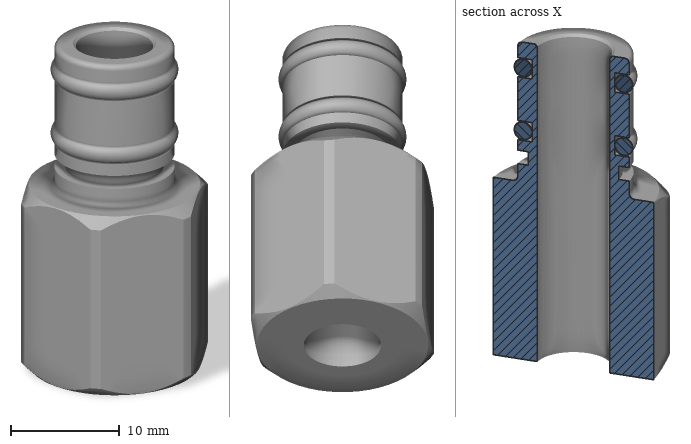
import cadquery as cq
import math

TOTAL_HEIGHT = 31.75
HEX_HEIGHT = 17.78
HEX_ACROSS_FLATS = 15.88
HEX_CORNER_RADIUS = 8.9
HEX_CHAMFER = 1.02

STEM_RADIUS = 5.52
STEM_TOP_FILLET = 0.5
STEM_ROOT_FILLET = 0.5
BORE_RADIUS = 3.55
BORE_CHAMFER = 0.25

RELIEF_RADIUS = 4.5
RELIEF_BOTTOM = 19.53
RELIEF_WIDTH = 1.3

RING_SECTION_RADIUS = 0.9
RING_OUTER_RADIUS = 5.87
RING_HEIGHTS = (22.85, 29.15)
RING_GROOVE_WIDTH = 1.87

RING_CENTRE_RADIUS = RING_OUTER_RADIUS - RING_SECTION_RADIUS
RING_GROOVE_RADIUS = RING_CENTRE_RADIUS - RING_SECTION_RADIUS


def make_hexagon():
    """Hexagonal base with turned corners and a 45 degree chamfer at both ends."""
    across_corners = HEX_ACROSS_FLATS / math.cos(math.pi / 6)
    prism = cq.Workplane("XY").polygon(6, across_corners).extrude(HEX_HEIGHT)
    turned_blank = (
        cq.Workplane("XY")
        .circle(HEX_CORNER_RADIUS)
        .extrude(HEX_HEIGHT)
        .edges("%CIRCLE")
        .chamfer(HEX_CHAMFER)
    )
    return prism.intersect(turned_blank)


def make_stem():
    """Round stem with a rounded top rim and a concave fillet at its root."""
    root_radius = STEM_RADIUS + STEM_ROOT_FILLET
    root_top = HEX_HEIGHT + STEM_ROOT_FILLET
    rim_bottom = TOTAL_HEIGHT - STEM_TOP_FILLET
    return (
        cq.Workplane("XZ")
        .moveTo(0, HEX_HEIGHT)
        .lineTo(root_radius, HEX_HEIGHT)
        .radiusArc((STEM_RADIUS, root_top), STEM_ROOT_FILLET)
        .lineTo(STEM_RADIUS, rim_bottom)
        .radiusArc((STEM_RADIUS - STEM_TOP_FILLET, TOTAL_HEIGHT), -STEM_TOP_FILLET)
        .lineTo(0, TOTAL_HEIGHT)
        .close()
        .revolve(360, (0, 0), (0, 1))
    )


def make_groove(bottom, width, floor_radius):
    """Ring of material to cut from the stem, leaving floor_radius."""
    return (
        cq.Workplane("XY")
        .workplane(offset=bottom)
        .circle(STEM_RADIUS + STEM_ROOT_FILLET)
        .circle(floor_radius)
        .extrude(width)
    )


def make_bore():
    """Through bore with a chamfered mouth at the top."""
    mouth_radius = BORE_RADIUS + BORE_CHAMFER
    return (
        cq.Workplane("XZ")
        .moveTo(0, 0)
        .lineTo(BORE_RADIUS, 0)
        .lineTo(BORE_RADIUS, TOTAL_HEIGHT - BORE_CHAMFER)
        .lineTo(mouth_radius, TOTAL_HEIGHT)
        .lineTo(0, TOTAL_HEIGHT)
        .close()
        .revolve(360, (0, 0), (0, 1))
    )


def make_fitting():
    """Hexagonal base and stem in one piece, with its grooves and bore."""
    body = make_hexagon().union(make_stem())
    body = body.cut(make_groove(RELIEF_BOTTOM, RELIEF_WIDTH, RELIEF_RADIUS))
    for height in RING_HEIGHTS:
        groove_bottom = height - RING_GROOVE_WIDTH / 2
        body = body.cut(make_groove(groove_bottom, RING_GROOVE_WIDTH, RING_GROOVE_RADIUS))
    return body.cut(make_bore())


def make_o_ring(height):
    """O-ring resting on the floor of its groove, centred at the given height."""
    return (
        cq.Workplane("XZ")
        .center(RING_CENTRE_RADIUS, height)
        .circle(RING_SECTION_RADIUS)
        .revolve(360, (-RING_CENTRE_RADIUS, 0), (-RING_CENTRE_RADIUS, 1))
    )


fitting = make_fitting()
o_rings = [make_o_ring(height) for height in RING_HEIGHTS]

result = cq.Compound.makeCompound([fitting.solids().val(), *[ring.val() for ring in o_rings]])